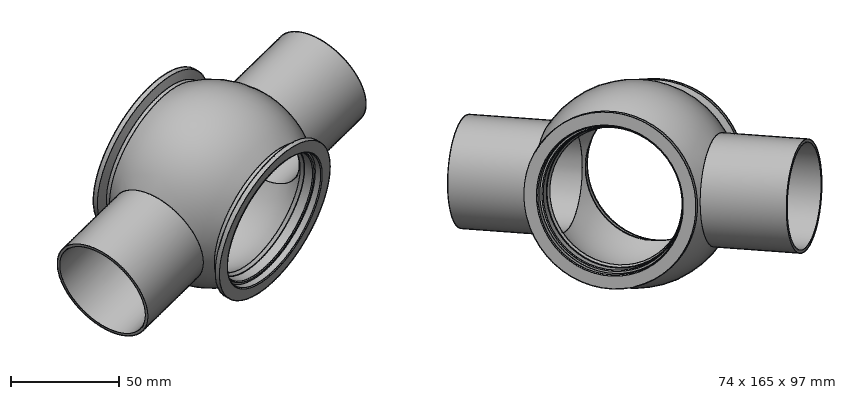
import cadquery as cq
import math

sphere_radius = 48.5
cavity_radius = 42.0

overall_length = 165.0
pipe_radius = 26.5
pipe_wall = 1.5

overall_width = 74.0
flange_radius = 41.9
rim_width = 2.5
bevel_width = 2.0
neck_radius = 37.6
port_bore_radius = 32.7

mouth_radius = 35.8
mouth_chamfer = 0.5
recess_depth = 3.6
seat_radius = 33.8
seat_chamfer = 0.5
seat_depth = 8.7
lip_radius = 33.5

half_width = overall_width / 2


def chord_half_width(ball_radius, ring_radius):
    """Distance from the centre at which a sphere narrows to the given ring radius."""
    return math.sqrt(ball_radius**2 - ring_radius**2)


def revolve_about_x(ball_radius, right_profile):
    """Revolve a symmetric profile: a central arc, then (x, radius) points out to each end."""
    left_profile = [(-x, radius) for x, radius in reversed(right_profile)]
    end_x = right_profile[-1][0]
    profile = (
        cq.Workplane("XY")
        .moveTo(-end_x, 0)
        .lineTo(*left_profile[0])
    )
    for point in left_profile[1:]:
        profile = profile.lineTo(*point)
    profile = profile.threePointArc((0, ball_radius), right_profile[0])
    for point in right_profile[1:]:
        profile = profile.lineTo(*point)
    return profile.lineTo(end_x, 0).close().revolve(360, (0, 0, 0), (1, 0, 0))


def y_cylinder(radius):
    """Cylinder of full part length, centred on the Y axis."""
    return cq.Workplane("XZ").circle(radius).extrude(overall_length / 2, both=True)


def housing():
    """Solid sphere with a neck and a bevelled flange at each end."""
    rim_start = half_width - rim_width
    return revolve_about_x(
        sphere_radius,
        [
            (chord_half_width(sphere_radius, neck_radius), neck_radius),
            (rim_start - bevel_width, neck_radius),
            (rim_start, flange_radius),
            (half_width, flange_radius),
        ],
    )


def housing_cavity():
    """Spherical cavity opening through the chamfered, stepped port seats."""
    recess_radius = mouth_radius - mouth_chamfer
    recess_floor = half_width - recess_depth
    seat_floor = half_width - seat_depth
    return revolve_about_x(
        cavity_radius,
        [
            (chord_half_width(cavity_radius, port_bore_radius), port_bore_radius),
            (seat_floor, lip_radius),
            (seat_floor, seat_radius),
            (recess_floor - seat_chamfer, seat_radius),
            (recess_floor, seat_radius + seat_chamfer),
            (recess_floor, recess_radius),
            (half_width - mouth_chamfer, recess_radius),
            (half_width, mouth_radius),
        ],
    )


outside = housing().union(y_cylinder(pipe_radius))
result = outside.cut(housing_cavity()).cut(y_cylinder(pipe_radius - pipe_wall))